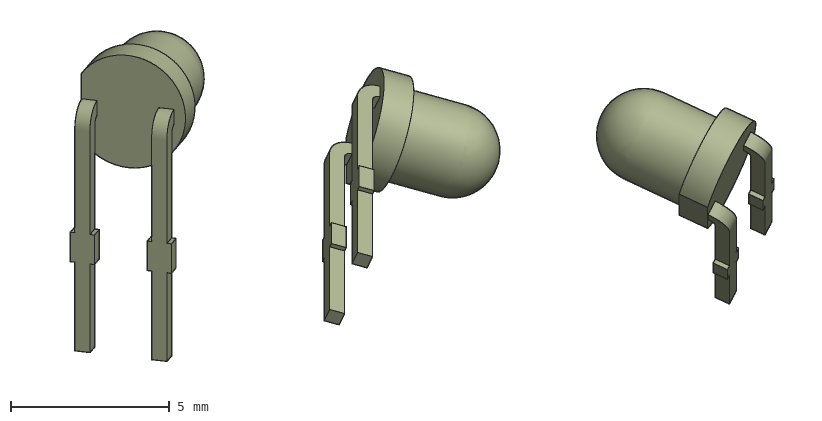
import cadquery as cq

overall_height = 9.89
lens_diameter = 3.0
barrel_length = 2.0
flange_diameter = 3.8
flange_thickness = 1.0
flat_distance = 1.55
lead_size = 0.5
lead_pitch = 2.54
bend_inner_radius = 0.25
stop_width = 0.8
stop_height = 1.0
stop_above_tip = 3.0

lens_radius = lens_diameter / 2
flange_radius = flange_diameter / 2
bend_outer_radius = bend_inner_radius + lead_size
lead_top = lead_size / 2
bend_center_z = lead_top - bend_outer_radius
tip_z = flange_radius - overall_height


def make_flange():
    """Round flange with one flat marking the polarity."""
    disc = cq.Workplane("XZ").circle(flange_radius).extrude(-flange_thickness)
    keep = cq.Workplane("XY").box(
        flat_distance + flange_radius, flange_thickness, flange_diameter, centered=(False, False, True)
    )
    return disc.intersect(keep.translate((-flat_distance, 0, 0)))


def make_lens():
    """Barrel closed by a hemispherical dome."""
    dome_start = flange_thickness + barrel_length
    barrel = cq.Workplane("XZ").circle(lens_radius).extrude(-dome_start)
    dome = cq.Workplane("XY").sphere(lens_radius).translate((0, dome_start, 0))
    return barrel.union(dome)


def make_lead(center_x):
    """Square lead that leaves the flange, bends down and carries a wider stop."""
    diagonal = 0.5 ** 0.5
    outer_mid = (-bend_outer_radius * diagonal, bend_center_z + bend_outer_radius * diagonal)
    inner_mid = (-bend_inner_radius * diagonal, bend_center_z + bend_inner_radius * diagonal)
    strip = (
        cq.Workplane("YZ", origin=(center_x, 0, 0))
        .moveTo(flange_thickness / 2, lead_top)
        .lineTo(0, lead_top)
        .threePointArc(outer_mid, (-bend_outer_radius, bend_center_z))
        .lineTo(-bend_outer_radius, tip_z)
        .lineTo(-bend_inner_radius, tip_z)
        .lineTo(-bend_inner_radius, bend_center_z)
        .threePointArc(inner_mid, (0, lead_top - lead_size))
        .lineTo(flange_thickness / 2, lead_top - lead_size)
        .close()
        .extrude(lead_size / 2, both=True)
    )
    stop = cq.Workplane("XY").box(stop_width, lead_size, stop_height, centered=(True, False, False))
    return strip.union(stop.translate((center_x, -bend_outer_radius, tip_z + stop_above_tip)))


result = make_flange().union(make_lens())
for side in (-1, 1):
    result = result.union(make_lead(side * lead_pitch / 2))